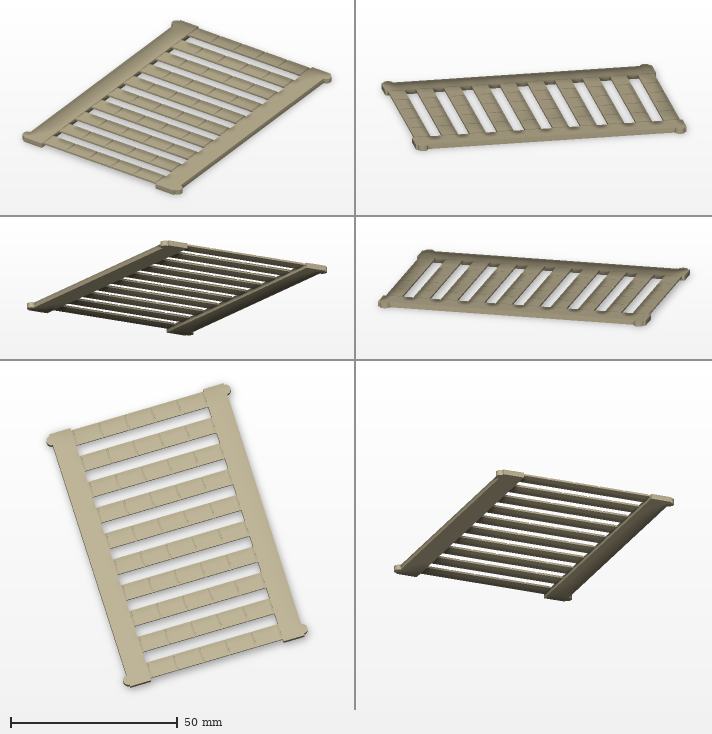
import cadquery as cq

frame_length = 83.0
frame_width = 57.9
frame_thickness = 1.6

rail_inner_x = 20.8
rail_outer_x = 27.5

ear_width = 3.0
ear_end_inset = 0.6

slat_count = 10
slat_width = 5.0
slat_end_margin = 0.75
slat_thickness = 0.6
slat_pitch = (frame_length - 2 * slat_end_margin - slat_width) / (slat_count - 1)

pad_count = 5
pad_length = 7.55
groove_width = 0.7
groove_depth = 0.2
pad_pitch = pad_length + groove_width


def make_rail(side):
    """Rail on the side given by the sign of X, with an ear at each end."""
    rail_width = rail_outer_x - rail_inner_x
    rail_x = side * (rail_inner_x + rail_outer_x) / 2
    rail = (
        cq.Workplane("XY")
        .center(rail_x, 0)
        .rect(rail_width, frame_length)
        .extrude(frame_thickness)
    )
    ear_radius = ear_width / 2
    ear_x = side * (frame_width / 2 - ear_radius)
    ear_y = frame_length / 2 - ear_end_inset - ear_radius
    ears = (
        cq.Workplane("XY")
        .pushPoints([(ear_x, ear_y), (ear_x, -ear_y)])
        .circle(ear_radius)
        .extrude(frame_thickness)
    )
    return rail.union(ears)


def make_slats():
    """Row of thin slats with a row of pads on each."""
    base_thickness = slat_thickness - groove_depth
    slats = (
        cq.Workplane("XY", origin=(0, 0, frame_thickness - slat_thickness))
        .rarray(0.8, slat_pitch, 1, slat_count)
        .rect(2 * rail_inner_x, slat_width)
        .extrude(base_thickness)
    )
    pads = (
        cq.Workplane("XY", origin=(0, 0, frame_thickness - groove_depth))
        .rarray(pad_pitch, slat_pitch, pad_count, slat_count)
        .rect(pad_length, slat_width)
        .extrude(groove_depth)
    )
    return slats.union(pads)


result = make_rail(-1).union(make_slats()).union(make_rail(1))